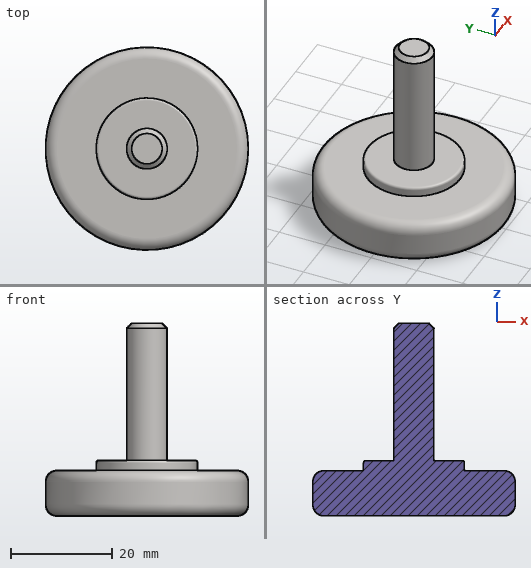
import cadquery as cq

base_diameter = 40
base_height = 9.0
base_edge_radius = base_height / 4

collar_diameter = 20
collar_height = 2
collar_edge_radius = 0.5

overall_height = 38
stem_diameter = 8
stem_chamfer = 1.0
stem_length = overall_height - base_height - collar_height

base = cq.Workplane("XY").circle(base_diameter / 2).extrude(base_height)
base = base.faces("<Z or >Z").edges().fillet(base_edge_radius)

collar = cq.Workplane("XY").workplane(offset=base_height)
collar = collar.circle(collar_diameter / 2).extrude(collar_height)
collar = collar.faces(">Z").edges().fillet(collar_edge_radius)

stem = cq.Workplane("XY").workplane(offset=base_height + collar_height)
stem = stem.circle(stem_diameter / 2).extrude(stem_length)
stem = stem.faces(">Z").edges().chamfer(stem_chamfer)

result = base.union(collar).union(stem)